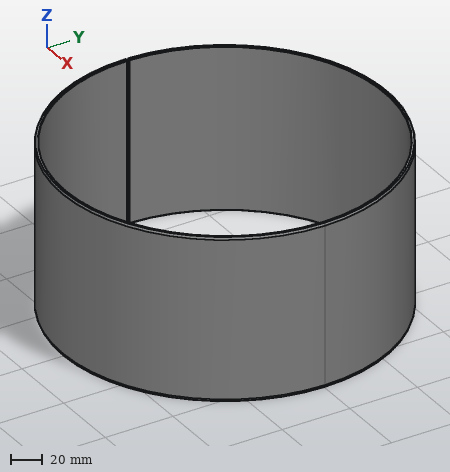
import cadquery as cq
import math

outer_diameter = 240.0
height = 120.0
wall = 2.5
outer_taper_height = 1.8
outer_taper_angle = 20.0
inner_taper_height = 0.6
inner_taper_angle = 30.0
gap_width = 2.0
gap_start_y = 0.0

outer_radius = outer_diameter / 2
inner_radius = outer_radius - wall
rim_outer_radius = outer_radius - outer_taper_height * math.tan(math.radians(outer_taper_angle))
rim_inner_radius = inner_radius + inner_taper_height * math.tan(math.radians(inner_taper_angle))


def make_sleeve():
    """Thin round sleeve standing on Z = 0, tapered inside and outside at both rims."""
    wall_section = [
        (rim_inner_radius, 0),
        (rim_outer_radius, 0),
        (outer_radius, outer_taper_height),
        (outer_radius, height - outer_taper_height),
        (rim_outer_radius, height),
        (rim_inner_radius, height),
        (inner_radius, height - inner_taper_height),
        (inner_radius, inner_taper_height),
    ]
    profile = cq.Workplane("XZ").polyline(wall_section).close()
    return profile.revolve(360, (0, 0, 0), (0, 1, 0))


def make_gap_cutter():
    """Full-height block that splits the wall on the -X side."""
    cutter_length = 2 * wall
    cutter = cq.Workplane("XY").box(cutter_length, gap_width, height, centered=False)
    return cutter.translate((-outer_radius - wall / 2, gap_start_y, 0))


result = make_sleeve().cut(make_gap_cutter())